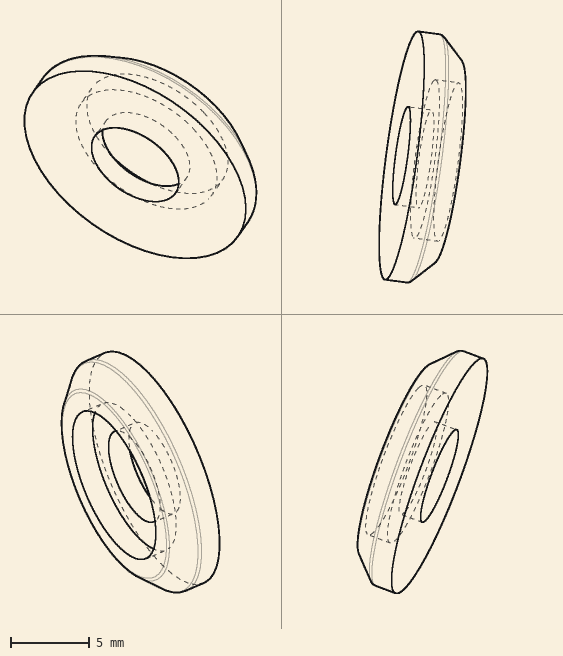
import cadquery as cq

outer_diameter = 16.0
bore_diameter = 6.3
thickness = 3.0
bevel_size = 1.5
edge_radius = 0.3
bore_length = 1.5
counterbore_diameter = 10.2

match_tolerance = 1e-3

front_y = 0.0
back_y = front_y + thickness
bevel_start_y = back_y - bevel_size
counterbore_floor_y = front_y + bore_length

outer_radius = outer_diameter / 2
bevel_end_radius = outer_radius - bevel_size
bore_radius = bore_diameter / 2
counterbore_radius = counterbore_diameter / 2


def make_washer():
    """Revolve the half section about Y; in the XY plane X is the radius."""
    half_section = (
        cq.Workplane("XY")
        .moveTo(bore_radius, front_y)
        .lineTo(outer_radius, front_y)
        .lineTo(outer_radius, bevel_start_y)
        .lineTo(bevel_end_radius, back_y)
        .lineTo(counterbore_radius, back_y)
        .lineTo(counterbore_radius, counterbore_floor_y)
        .lineTo(bore_radius, counterbore_floor_y)
        .close()
    )
    return half_section.revolve(360, (0, 0, 0), (0, 1, 0))


def is_circle_at(edge, radius, y):
    """Tell whether a circular edge has this radius and lies at this Y."""
    same_radius = abs(edge.radius() - radius) < match_tolerance
    same_position = abs(edge.Center().y - y) < match_tolerance
    return same_radius and same_position


def round_bevel_edges(washer):
    """Round the two circular edges where the bevel meets the rim and the back face."""
    bevel_edges = []
    for edge in washer.edges("%CIRCLE").vals():
        at_rim = is_circle_at(edge, outer_radius, bevel_start_y)
        at_back = is_circle_at(edge, bevel_end_radius, back_y)
        if at_rim or at_back:
            bevel_edges.append(edge)
    return washer.newObject(bevel_edges).fillet(edge_radius)


result = round_bevel_edges(make_washer())